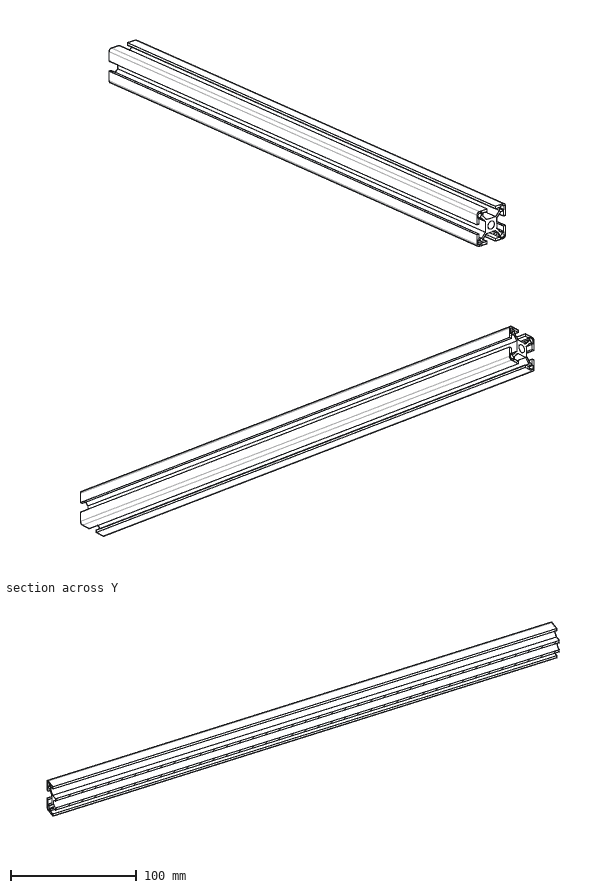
import cadquery as cq
import math

length = 448.0
side = 30.0
corner_radius = 2.45
slot_opening = 8.5
lip_thickness = 2.2
slot_inner_width = 17.5
core_side = 12.0
bore_diameter = 6.5
spoke_thickness = 2.0

cavity_wall = 1.5
cavity_inset = 1.0
cavity_radius = 1.55
cavity_slope_gap = 2.0

half_side = side / 2
half_opening = slot_opening / 2
half_inner = slot_inner_width / 2
half_core = core_side / 2
lip_underside = half_side - lip_thickness

spoke_offset = spoke_thickness / math.sqrt(2)


def slot_cutter():
    """T-slot open toward +Z, with a floor on the core and sides along the spokes."""
    right_side = [
        (half_core - spoke_offset, half_core),
        (half_inner, half_inner + spoke_offset),
        (half_inner, lip_underside),
        (half_opening, lip_underside),
        (half_opening, half_side),
    ]
    left_side = [(-y, z) for y, z in reversed(right_side)]
    return cq.Workplane("YZ").polyline(right_side + left_side).close().extrude(length)


def cavity_cutter():
    """Hollow in the +Y +Z corner: a square with its inner corner cut off at 45 degrees."""
    inner = half_inner + cavity_inset
    outer = half_side - cavity_wall
    slope_end = half_inner + spoke_offset + cavity_slope_gap
    outline = [
        (inner, slope_end),
        (inner, outer),
        (outer, outer),
        (outer, inner),
        (slope_end, inner),
    ]
    cavity = cq.Workplane("YZ").polyline(outline).close().extrude(length)
    outer_corner = cq.selectors.NearestToPointSelector((length / 2, outer, outer))
    return cavity.edges("|X").edges(outer_corner).fillet(cavity_radius)


bar = cq.Workplane("YZ").rect(side, side).extrude(length).edges("|X").fillet(corner_radius)
bore = cq.Workplane("YZ").circle(bore_diameter / 2).extrude(length)
profile = bar.cut(bore)

slot = slot_cutter()
cavity = cavity_cutter()
for quarter in range(4):
    angle = 90 * quarter
    profile = profile.cut(slot.rotate((0, 0, 0), (1, 0, 0), angle))
    profile = profile.cut(cavity.rotate((0, 0, 0), (1, 0, 0), angle))

result = profile.translate((-length / 2, 0, 0))